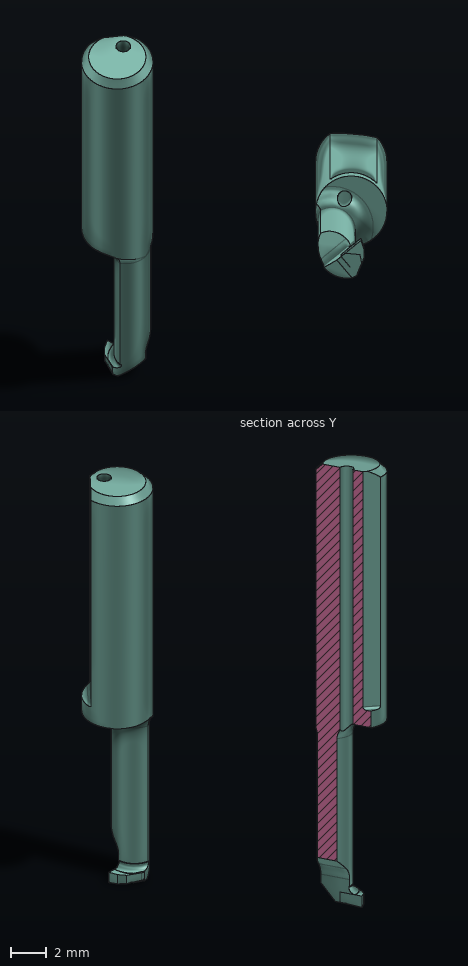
import cadquery as cq
import math


total_length = 26.0
shank_radius = 2.0
shank_bottom = 11.0
shank_chamfer = 0.4
flat_distance = 1.5
flat_bottom = 12.0
flat_corner_radius = 0.15
flat_angle = 135.0

coolant_diameter = 0.8
coolant_x = -0.2
coolant_y = 0.82

neck_left = 0.1
inner_radius = 1.31
inner_x = neck_left + inner_radius
outer_radius = 1.4
outer_x = shank_radius - outer_radius
neck_flare_radius = 1.0
neck_bottom = 0.06
end_chamfer = 0.95
relief_top = 1.93
relief_angle = 45.0
relief_blend_radius = 1.0

head_left = -0.7
head_right = 0.74
head_height = 0.68
head_flare_radius = 0.4
throat_depth = 0.06
root_top = head_height + head_flare_radius
clearance_angle = 3.0
head_back = -math.sqrt(outer_radius**2 - (head_right - outer_x) ** 2)
head_outline = [
    (head_left, 0),
    (-0.51, -0.51),
    (-0.2, -0.9),
    (0.58, -1.3),
    (head_right, head_back),
    (head_right, 0),
]


def cylinder(center_x, radius, bottom, top):
    return cq.Workplane("XY", origin=(center_x, 0, bottom)).circle(radius).extrude(top - bottom)


def flared_column(center_x, radius, flare_radius, wide_end, direction):
    """Round column widening through a concave arc to its wide end; direction is +1 for up."""
    narrow_end = wide_end - direction * flare_radius
    arc_center_r = radius + flare_radius
    arc_mid_r = arc_center_r - flare_radius * math.sqrt(0.5)
    arc_mid_z = narrow_end + direction * flare_radius * math.sqrt(0.5)
    return (
        cq.Workplane("XZ", origin=(center_x, 0, 0))
        .moveTo(0, narrow_end)
        .lineTo(radius, narrow_end)
        .threePointArc((arc_mid_r, arc_mid_z), (arc_center_r, wide_end))
        .lineTo(0, wide_end)
        .close()
        .revolve(360, (0, 0), (0, 1))
    )


def make_shank():
    shank = cylinder(0, shank_radius, shank_bottom, total_length).faces(">Z").chamfer(shank_chamfer)
    return shank.cut(make_flat_cutter())


def make_flat_cutter():
    """Block that leaves the clamping flat, with a rounded lower inner corner."""
    depth = shank_radius
    height = total_length - flat_bottom
    return (
        cq.Workplane("XY")
        .box(depth, 2 * shank_radius, height, centered=(False, True, False))
        .edges("<X and <Z")
        .fillet(flat_corner_radius)
        .translate((flat_distance, 0, flat_bottom))
        .rotate((0, 0, 0), (0, 0, 1), flat_angle)
    )


def make_neck():
    inner = cylinder(inner_x, inner_radius, root_top, shank_bottom)
    outer = cylinder(outer_x, outer_radius, root_top, shank_bottom)
    return inner.intersect(outer)


def make_shank_flare():
    inner = flared_column(inner_x, inner_radius, neck_flare_radius, shank_bottom, 1)
    outer = flared_column(outer_x, outer_radius, neck_flare_radius, shank_bottom, 1)
    envelope = cylinder(0, shank_radius, shank_bottom - neck_flare_radius, shank_bottom)
    return inner.intersect(outer).intersect(envelope)


def make_head_root():
    """Joins the neck to the head: a concave flare onto the head and a solid foot behind it."""
    outer = cylinder(outer_x, outer_radius, neck_bottom, root_top)
    flare = flared_column(inner_x, inner_radius - throat_depth, head_flare_radius, head_height, -1)
    pad = cylinder(inner_x, inner_radius - throat_depth + head_flare_radius, neck_bottom, head_height)
    head_area = cq.Workplane("XY").polyline(head_outline).close().extrude(root_top)
    foot_area = (
        cq.Workplane("XY")
        .box(shank_radius - head_right, shank_radius, root_top, centered=False)
        .translate((head_right, -shank_radius, 0))
    )
    foot = foot_area.intersect(cylinder(outer_x, outer_radius, neck_bottom, head_height))
    return flare.union(pad).intersect(outer).intersect(head_area.union(foot_area)).union(foot)


def make_relief_cutter():
    """Clears the +Y half of the neck end down to the rake plane, with a sloped run-out."""
    reach = shank_radius
    slope_rise = reach * math.tan(math.radians(relief_angle))
    return (
        cq.Workplane("YZ", origin=(-reach, 0, 0))
        .polyline([(0, 0), (reach, 0), (reach, relief_top + slope_rise), (0, relief_top)])
        .close()
        .extrude(2 * reach)
        .edges(cq.selectors.NearestToPointSelector((0, 0, relief_top)))
        .fillet(relief_blend_radius)
    )


def make_end_chamfer_cutter():
    corner = (shank_radius, neck_bottom)
    return (
        cq.Workplane("XZ")
        .polyline([corner, (corner[0] - end_chamfer, corner[1]), (corner[0], corner[1] + end_chamfer)])
        .close()
        .extrude(shank_radius, both=True)
    )


def half_space(origin, normal):
    """Block large enough to trim the head, lying on the normal's side of a plane."""
    plane = cq.Plane(origin=origin, xDir=(0, 1, -normal[1] / normal[2]), normal=normal)
    return cq.Workplane(plane).rect(4 * shank_radius, 4 * shank_radius).extrude(shank_radius)


def make_head():
    """Faceted cutting head whose upper and lower flanks fall away from the cutting edge."""
    slope = math.tan(math.radians(clearance_angle))
    blank = cq.Workplane("XY").polyline(head_outline).close().extrude(head_height)
    above = half_space((head_left, 0, head_height), (0, -slope, 1))
    below = half_space((head_left, 0, 0), (slope, -slope, -1))
    return blank.cut(above).cut(below)


def make_bar(head):
    coolant_hole = (
        cq.Workplane("XY").center(coolant_x, coolant_y).circle(coolant_diameter / 2).extrude(total_length)
    )
    bar = make_shank().union(make_shank_flare()).union(make_neck()).union(make_head_root())
    return bar.cut(make_relief_cutter()).cut(make_end_chamfer_cutter()).cut(coolant_hole).cut(head)


head = make_head()
bar = make_bar(head)

result = cq.Compound.makeCompound([bar.solids().val(), head.solids().val()])